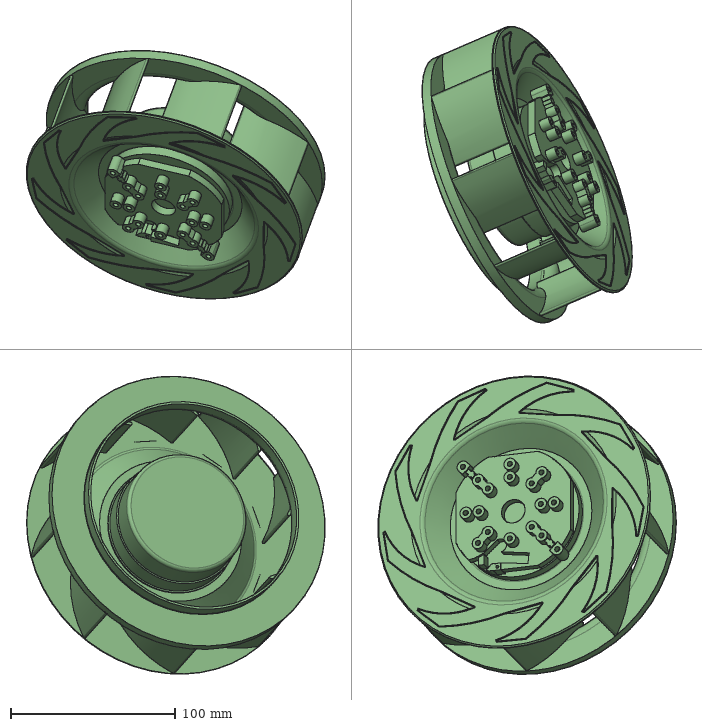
import cadquery as cq
import math


fan_radius = 87.5
plate_thickness = 1.5
rim_chamfer = 0.9
inlet_depth = 59.8
ring_front = 44.0
ring_thickness = 6.1
ring_back = ring_front + ring_thickness
inlet_outer_radius = 67.4
inlet_wall = 1.4
inlet_inner_radius = inlet_outer_radius - inlet_wall
bellmouth_radius = 7.4
neck_length = 0.7
neck_depth = 0.5

sheet_thickness = 1.2
floor_front = 14.0
floor_back = floor_front + sheet_thickness
dish_floor_radius = 45.5
dish_mouth_radius = 58.5
dish_mouth_fillet = 3.8
dish_back_mouth_radius = 58.6
dish_back_fillet = 2.1
collar_radius = 40.2
collar_end = 16.1
floor_hole_fillet = 1.0

blade_count = 9
blade_pitch = 360 / blade_count
blade_half_thickness = 0.9
blade_inner = (94.8, 64.4)
blade_middle = (79.7, 75.6)
blade_tip = (65.7, 86.5)

groove_width = 0.5
groove_depth = 0.5
tooth_root_start = (105.0, 65.8)
tooth_back = (89.5, 73.8)
tooth_shoulder = (75.3, 84.0)
tooth_tip_outer = (62.5, 84.0)
tooth_tip_inner = (62.0, 82.6)
tooth_hollow = (76.0, 73.3)
tooth_root_end = (86.5, 64.0)
slope_inner_radius = 63.0
slope_outer_radius = 66.0
slope_depth = 1.2

can_radius = 39.2
can_front = 8.4
can_step = 29.0
rear_can_radius = 38.2
rear_can_end = 47.6
rear_can_fillet = 2.1
core_radius = 15.8
flange_front = -0.5
flange_back = 4.4
flange_radius = 40.2
flange_width = 73.8
shaft_hole_radius = 7.5
shaft_hole_depth = 5.2

boss_radius = 3.7
boss_hole_radius = 1.5
boss_hole_depth = 5.2
boss_front = -7.2
inner_boss_circle = 20.0
straight_boss_circle = 28.4
diagonal_boss_circle = 28.9
boss_web_width = 5.0
arm_root_radius = 39.5
arm_boss_circle = 42.9
arm_boss_front = -6.6
arm_web_width = 2.6
arm_web_front = -6.1
arm_collar_width = 4.2
arm_collar_length = 2.5
arm_collar_circle = 35.7

post_width = 3.8
post_height = 6.6
post_front = 1.2
post_centre = (-21.2, -28.4)
terminal_width = 5.0
terminal_height = 4.4
terminal_centre = (-10.7, -34.3)
terminal_front = 0.5
terminal_hole_radius = 0.9


def polar(angle, radius):
    """Point in the XZ plane at an angle from +X toward +Z."""
    return (radius * math.cos(math.radians(angle)), radius * math.sin(math.radians(angle)))


def at_depth(y):
    """Sketch plane facing -Y at depth y, with local axes X and Z."""
    return cq.Workplane("XZ", origin=(0, y, 0))


def cylinder(radius, y_start, y_end, centre=(0, 0)):
    return at_depth(y_start).center(*centre).circle(radius).extrude(y_start - y_end)


def box(width, height, y_start, y_end, centre):
    return at_depth(y_start).center(*centre).rect(width, height).extrude(y_start - y_end)


def revolved(profile):
    return profile.close().revolve(360, (0, 0), (0, 1))


def about_axis(body, angle):
    """Turn a body about the fan axis, from +X toward +Z."""
    return body.rotate((0, 0, 0), (0, -1, 0), angle)


def radial_bar(width, r_start, r_end, y_start, y_end):
    """Bar lying along +X between two radii."""
    return box(r_end - r_start, width, y_start, y_end, ((r_start + r_end) / 2, 0))


def rim_at(y):
    """Selector for everything lying in the plane at depth y."""
    return cq.selectors.BoxSelector(
        (-fan_radius, y - 0.02, -fan_radius), (fan_radius, y + 0.02, fan_radius), boundingbox=True
    )


def make_front_plate():
    profile = (
        cq.Workplane("XY")
        .moveTo(dish_mouth_radius, 0)
        .lineTo(fan_radius - rim_chamfer, 0)
        .lineTo(fan_radius, rim_chamfer)
        .lineTo(fan_radius, plate_thickness)
        .lineTo(dish_back_mouth_radius, plate_thickness)
        .lineTo(dish_floor_radius, floor_back)
        .lineTo(collar_radius, floor_back)
        .lineTo(collar_radius, collar_end)
        .lineTo(can_radius, collar_end)
        .lineTo(can_radius, floor_front)
        .lineTo(dish_floor_radius, floor_front)
    )
    plate = revolved(profile)
    smallest = cq.selectors.RadiusNthSelector(0)
    plate = plate.edges(rim_at(0)).edges(smallest).fillet(dish_mouth_fillet)
    plate = plate.edges(rim_at(plate_thickness)).edges(smallest).fillet(dish_back_fillet)
    return plate.edges(rim_at(floor_front)).edges(smallest).fillet(floor_hole_fillet)


def make_inlet_ring():
    mouth_radius = inlet_inner_radius + bellmouth_radius
    arc_drop = bellmouth_radius * (1 - math.sqrt(0.5))
    neck_radius = inlet_outer_radius - neck_depth
    profile = (
        cq.Workplane("XY")
        .moveTo(mouth_radius, ring_front)
        .lineTo(fan_radius, ring_front)
        .lineTo(fan_radius, ring_back)
        .lineTo(neck_radius, ring_back)
        .lineTo(neck_radius, ring_back + neck_length)
        .lineTo(inlet_outer_radius, ring_back + neck_length)
        .lineTo(inlet_outer_radius, inlet_depth)
        .lineTo(inlet_inner_radius, inlet_depth)
        .lineTo(inlet_inner_radius, ring_front + bellmouth_radius)
        .threePointArc(
            (inlet_inner_radius + arc_drop, ring_front + arc_drop), (mouth_radius, ring_front)
        )
    )
    return revolved(profile)


def make_blade():
    """Backward-curved blade of constant thickness joining the plate to the inlet ring."""
    camber = at_depth(plate_thickness).moveTo(*polar(*blade_inner)).threePointArc(
        polar(*blade_middle), polar(*blade_tip)
    )
    return camber.offset2D(blade_half_thickness).extrude(plate_thickness - ring_back)


def star_outline(y):
    star = at_depth(y).moveTo(*polar(*tooth_root_start))
    for i in range(blade_count):
        turn = -i * blade_pitch

        def turned(point):
            return polar(point[0] + turn, point[1])

        star = star.threePointArc(turned(tooth_back), turned(tooth_shoulder))
        star = star.lineTo(*turned(tooth_tip_outer)).lineTo(*turned(tooth_tip_inner))
        star = star.threePointArc(turned(tooth_hollow), turned(tooth_root_end))
        if i < blade_count - 1:
            star = star.lineTo(*polar(tooth_root_start[0] + turn - blade_pitch, tooth_root_start[1]))
    return star.close()


def make_star_groove():
    outer = star_outline(0).extrude(-groove_depth)
    inner = star_outline(0).offset2D(-groove_width).extrude(-groove_depth)
    return outer.cut(inner)


def make_sloped_pockets():
    """Cone-bottomed slivers, deepest at the star outline, in the roots between its teeth."""
    wedge_ring = revolved(
        cq.Workplane("XY")
        .moveTo(slope_inner_radius, 0)
        .lineTo(slope_outer_radius, 0)
        .lineTo(slope_inner_radius, slope_depth)
    )
    return wedge_ring.cut(star_outline(0).extrude(-plate_thickness))


def make_impeller():
    body = make_front_plate().cut(make_star_groove()).cut(make_sloped_pockets())
    body = body.union(make_inlet_ring())
    blade = make_blade()
    for i in range(blade_count):
        body = body.union(about_axis(blade, -i * blade_pitch))
    return body


def make_motor_core():
    rear_can = cylinder(rear_can_radius, can_step, rear_can_end)
    rear_can = rear_can.faces(">Y").edges().fillet(rear_can_fillet)
    can = cylinder(can_radius, can_front, can_step)
    core = cylinder(core_radius, flange_back, can_front)
    flange = cylinder(flange_radius, flange_front, flange_back).intersect(
        box(flange_width, flange_width, flange_front, flange_back, (0, 0))
    )
    shaft_hole = cylinder(shaft_hole_radius, flange_front, flange_front + shaft_hole_depth)
    return can.union(rear_can).union(core).union(flange).cut(shaft_hole)


def make_wiring_recess():
    """Recess open to the flange edge, with a round-ended arm and a straight arm."""
    return (
        at_depth(flange_front)
        .moveTo(-31.5, -28.7)
        .lineTo(-24.5, -27.3)
        .lineTo(-18.9, -24.8)
        .lineTo(-10.3, -17.3)
        .threePointArc((-4.5, -20.0), (-7.7, -25.4))
        .lineTo(10.2, -28.2)
        .lineTo(9.5, -35.0)
        .lineTo(-8.0, -32.5)
        .lineTo(-8.0, -flange_radius)
        .lineTo(-31.5, -flange_radius)
        .close()
        .extrude(flange_front - flange_back)
    )


def make_post():
    return box(post_width, post_height, post_front, can_front, post_centre)


def make_terminal():
    """Terminal block with a pin hole and a slanted wing reaching the edge of the flange."""
    block = box(terminal_width, terminal_height, terminal_front, can_front, terminal_centre)
    wing = (
        at_depth(terminal_front)
        .moveTo(-12.2, -32.0)
        .lineTo(-14.4, -32.0)
        .lineTo(-17.8, -35.9)
        .lineTo(-15.8, -36.4)
        .lineTo(-12.2, -36.4)
        .close()
        .extrude(terminal_front - can_front)
    )
    hole = cylinder(terminal_hole_radius, terminal_front, can_front, terminal_centre)
    return block.union(wing).cut(hole)


def make_boss(circle_radius, front=boss_front, back=flange_front):
    return cylinder(boss_radius, front, back, (circle_radius, 0))


def make_boss_hole(circle_radius, front=boss_front):
    return cylinder(boss_hole_radius, front, front + boss_hole_depth, (circle_radius, 0))


def make_arm():
    """Long boss beyond the flange edge, tied back to the diagonal boss pair by a thin web."""
    arm = make_boss(arm_boss_circle, arm_boss_front, flange_back)
    arm = arm.union(
        radial_bar(2 * boss_radius, arm_root_radius, arm_boss_circle, arm_boss_front, flange_back)
    )
    arm = arm.union(
        radial_bar(arm_web_width, diagonal_boss_circle, arm_boss_circle, arm_web_front, flange_front)
    )
    collar_start = arm_collar_circle - arm_collar_length / 2
    collar_end = arm_collar_circle + arm_collar_length / 2
    return arm.union(
        radial_bar(arm_collar_width, collar_start, collar_end, arm_web_front, flange_front)
    )


def make_motor():
    body = make_motor_core().cut(make_wiring_recess())
    body = body.union(make_post()).union(make_terminal())

    bosses = []
    for angle in range(0, 360, 45):
        bosses.append((angle, inner_boss_circle))
    for angle in (0, 90, 180):
        bosses.append((angle, straight_boss_circle))
    for angle in range(45, 360, 90):
        bosses.append((angle, diagonal_boss_circle))

    for angle, circle_radius in bosses:
        body = body.union(about_axis(make_boss(circle_radius), angle))
    web = radial_bar(boss_web_width, inner_boss_circle, diagonal_boss_circle, boss_front, flange_front)
    for angle in range(45, 360, 90):
        body = body.union(about_axis(web, angle))
    for angle in (135, 315):
        body = body.union(about_axis(make_arm(), angle))
        body = body.cut(about_axis(make_boss_hole(arm_boss_circle, arm_boss_front), angle))
    for angle, circle_radius in bosses:
        body = body.cut(about_axis(make_boss_hole(circle_radius), angle))
    return body


impeller = make_impeller()
motor = make_motor()
result = cq.Compound.makeCompound([impeller.val(), motor.val()])